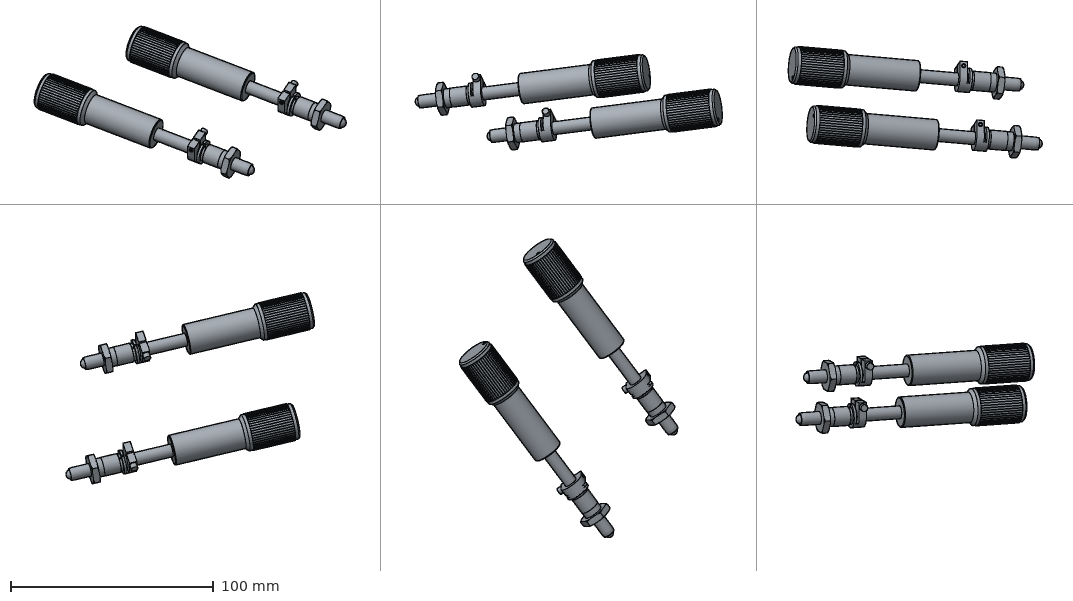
import cadquery as cq
import math


face_diameter = 16.7
rim_diameter = 18.1
rim_chamfer = 0.8
knurl_diameter = 18.8
knurl_start = 2.5
knurl_end = 24.2
groove_count = 48
groove_depth = 0.21
groove_width = 0.21
collar_diameter = 18.4
collar_end = 25.9
sleeve_diameter = 15.2
sleeve_end = 63.5
sleeve_chamfer = 0.4
shoulder_length = (collar_diameter - sleeve_diameter) / 2

mark_diameter = 1.8
mark_height = 0.3
mark_radius = 6.9

spindle_diameter = 6.5
spindle_end = 113.9
taper_length = 1.7
taper_end_diameter = 6.0
ball_diameter = 4.9
head_length = 117.5

clamp_width = 12.1
clamp_top = 7.5
cheek_length = 3.8
slit_end = 5.0
slit_floor = -3.4
flange_end = 6.3
slot_width = 0.8
slot_end = 6.7

screw_height = 5.2
screw_diameter = 1.8
screw_head_diameter = 3.5
screw_head_length = 2.5
screw_hole_diameter = 2.0
screw_tip_diameter = 1.5
screw_gap_depth = 0.4

neck_diameter = 8.9
neck_end = 7.6
thread_diameter = 9.5
thread_end = 16.0
bush_diameter = 9.4

nut_start = 19.1
nut_thickness = 3.4
nut_flats = 14.0
nut_face_diameter = 14.8
nut_corners = nut_flats / math.cos(math.pi / 6)
nut_chamfer_length = (nut_corners - nut_face_diameter) / 2 * math.tan(math.pi / 6)

heads = [
    {"place": (0, 0, 0), "clamp_start": 83.8, "mark_angle": 266},
    {"place": (22.8, 55.0, -8.6), "clamp_start": 83.0, "mark_angle": 164},
]


def cylinder(diameter, start, end):
    return cq.Workplane("YZ", origin=(start, 0, 0)).circle(diameter / 2).extrude(end - start)


def turned(profile):
    """Revolve a closed (x, radius) outline about the X axis."""
    return cq.Workplane("XY").polyline(profile).close().revolve(360, (0, 0, 0), (1, 0, 0))


def block(x_range, y_range, z_range):
    size = [high - low for low, high in (x_range, y_range, z_range)]
    corner = (x_range[0], y_range[0], z_range[0])
    return cq.Workplane("XY").box(*size, centered=False).translate(corner)


def make_knurl():
    """Band of straight V grooves."""
    radius = knurl_diameter / 2
    pitch = 2 * math.pi / groove_count
    half_groove = groove_width / 2 / radius

    def point(distance, angle):
        return (distance * math.cos(angle), distance * math.sin(angle))

    outline = cq.Workplane("YZ", origin=(knurl_start, 0, 0)).moveTo(*point(radius, half_groove))
    for index in range(1, groove_count + 1):
        angle = index * pitch
        outline = outline.threePointArc(
            point(radius, angle - pitch / 2),
            point(radius, angle - half_groove),
        )
        outline = outline.lineTo(*point(radius - groove_depth, angle))
        outline = outline.lineTo(*point(radius, angle + half_groove))
    return outline.close().extrude(knurl_end - knurl_start)


def make_knob_and_sleeve(mark_angle):
    body = turned([
        (0, 0),
        (0, face_diameter / 2),
        (rim_chamfer, rim_diameter / 2),
        (knurl_start, rim_diameter / 2),
        (knurl_start, collar_diameter / 2),
        (collar_end, collar_diameter / 2),
        (collar_end + shoulder_length, sleeve_diameter / 2),
        (sleeve_end - sleeve_chamfer, sleeve_diameter / 2),
        (sleeve_end, sleeve_diameter / 2 - sleeve_chamfer),
        (sleeve_end, 0),
    ])
    ball_radius = ((mark_diameter / 2) ** 2 + mark_height**2) / (2 * mark_height)
    mark = cq.Workplane("XY").sphere(ball_radius)
    mark = mark.translate((ball_radius - mark_height, mark_radius, 0))
    mark = mark.rotate((0, 0, 0), (1, 0, 0), mark_angle)
    return body.union(make_knurl()).union(mark)


def make_spindle():
    """Rod with a tapered end and a ball seated in its end face."""
    radius = spindle_diameter / 2
    ball_radius = ball_diameter / 2
    ball_center = head_length - ball_radius
    seat_x = spindle_end + taper_length
    seat_angle = math.acos((seat_x - ball_center) / ball_radius)

    def ball_point(angle):
        return (ball_center + ball_radius * math.cos(angle), ball_radius * math.sin(angle))

    outline = cq.Workplane("XY").moveTo(sleeve_end, 0).lineTo(sleeve_end, radius)
    outline = outline.lineTo(spindle_end, radius).lineTo(seat_x, taper_end_diameter / 2)
    outline = outline.lineTo(*ball_point(seat_angle))
    outline = outline.threePointArc(ball_point(seat_angle / 2), ball_point(0)).close()
    return outline.revolve(360, (0, 0, 0), (1, 0, 0))


def make_screw():
    """Shank across the slot, and the head outside the +Y cheek."""
    side = clamp_width / 2
    start = cq.Workplane("XZ", origin=(cheek_length / 2, side, screw_height))
    shank = start.circle(screw_diameter / 2).extrude(side + slot_width)
    head = start.circle(screw_head_diameter / 2).extrude(-screw_head_length)
    return shank.union(head)


def make_screw_gap():
    """Ring-shaped gap around the screw tip in the -Y cheek."""
    start = cq.Workplane("XZ", origin=(cheek_length / 2, -clamp_width / 2, screw_height))
    ring = start.circle(screw_hole_diameter / 2).circle(screw_tip_diameter / 2)
    return ring.extrude(-screw_gap_depth)


def make_clamp_and_bush():
    side = clamp_width / 2
    cheeks = block((0, cheek_length), (-side, side), (0, clamp_top))
    slit = block((cheek_length, slit_end), (-side, side), (slit_floor, side))
    slot = block((0, slot_end), (-slot_width / 2, slot_width / 2), (0, clamp_top))
    collar = cylinder(clamp_width, 0, flange_end).union(cheeks).cut(slit)
    collar = collar.union(cylinder(neck_diameter, flange_end, neck_end)).cut(slot)
    collar = collar.union(make_screw()).cut(make_screw_gap())
    thread = cylinder(thread_diameter, neck_end, thread_end)
    bush = cylinder(bush_diameter, thread_end, nut_start)
    return collar.union(thread).union(bush)


def make_nut():
    """Hexagon with two corners on the Y axis, chamfered on both faces."""
    nut_end = nut_start + nut_thickness
    hexagon = cq.Workplane("YZ", origin=(nut_start, 0, 0)).polygon(6, nut_corners)
    chamfered_round = turned([
        (nut_start, 0),
        (nut_start, nut_face_diameter / 2),
        (nut_start + nut_chamfer_length, nut_corners / 2),
        (nut_end - nut_chamfer_length, nut_corners / 2),
        (nut_end, nut_face_diameter / 2),
        (nut_end, 0),
    ])
    return hexagon.extrude(nut_thickness).intersect(chamfered_round)


def make_micrometer_head(place, clamp_start, mark_angle):
    mount = make_clamp_and_bush().union(make_nut()).translate((clamp_start, 0, 0))
    head = make_knob_and_sleeve(mark_angle).union(make_spindle()).union(mount)
    return head.translate(place)


micrometer_heads = [make_micrometer_head(**head) for head in heads]

result = cq.Compound.makeCompound([head.val() for head in micrometer_heads])